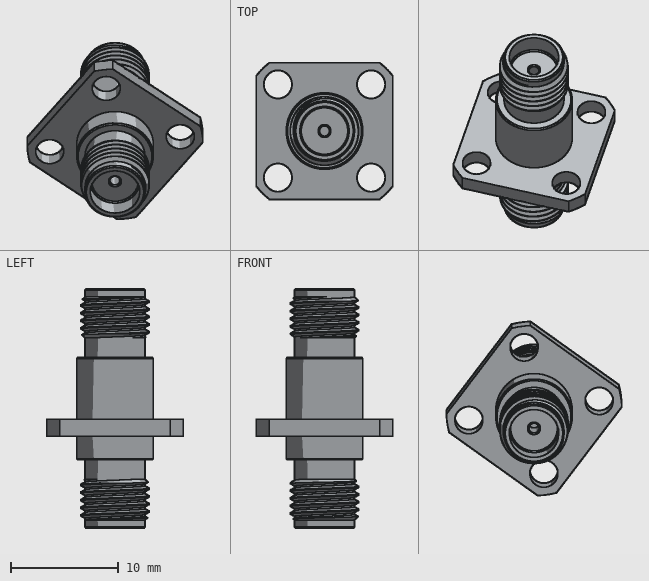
import cadquery as cq
import math

TOTAL_LENGTH = 22.23
BARREL_LENGTH = 6.35
EDGE_CHAMFER = 0.13

BODY_DIAMETER = 7.11
FLANGE_WIDTH = 12.7
FLANGE_BOTTOM = 8.53
FLANGE_THICKNESS = 1.6
CORNER_CIRCLE_DIAMETER = 16.3
MOUNT_HOLE_DIAMETER = 2.59
MOUNT_HOLE_SPACING = 8.64

BARREL_DIAMETER = 5.58
THREAD_DIAMETER = 6.35
INCH = 25.4
THREADS_PER_INCH = 36
THREAD_PITCH = INCH / THREADS_PER_INCH
THREAD_START = 0.76
THREAD_END = 4.57
CREST_OFFSET = 1.735
CREST_WIDTH = THREAD_PITCH / 8
FLANK_HALF_ANGLE = 30

SOCKET_DIAMETER = 4.57
SOCKET_DEPTH = 1.9
CONTACT_MOUTH_DIAMETER = 1.19
CONTACT_HOLE_DIAMETER = 0.94
CONTACT_DEPTH = 2.0

OVERLAP = 0.05


def cylinder(diameter, bottom, top):
    return cq.Workplane("XY").workplane(offset=bottom).circle(diameter / 2).extrude(top - bottom)


def thread():
    """Trapezoidal helical rib, trimmed by 45 degree run-outs at both ends."""
    barrel_radius = BARREL_DIAMETER / 2
    crest_radius = THREAD_DIAMETER / 2
    root_radius = barrel_radius - OVERLAP
    half_crest = CREST_WIDTH / 2
    half_root = half_crest + (crest_radius - root_radius) * math.tan(math.radians(FLANK_HALF_ANGLE))

    turns_before_crest = math.ceil((CREST_OFFSET - THREAD_START) / THREAD_PITCH) + 1
    helix_start = CREST_OFFSET - THREAD_PITCH * turns_before_crest
    turns = math.ceil((THREAD_END - helix_start) / THREAD_PITCH) + 1
    helix = cq.Wire.makeHelix(THREAD_PITCH, turns * THREAD_PITCH, barrel_radius)
    rib = (
        cq.Workplane("XZ")
        .polyline([
            (root_radius, -half_root),
            (crest_radius, -half_crest),
            (crest_radius, half_crest),
            (root_radius, half_root),
        ])
        .close()
        .sweep(cq.Workplane(helix), isFrenet=True)
        .translate((0, 0, helix_start))
    )
    envelope = (
        cylinder(THREAD_DIAMETER + 2 * OVERLAP, THREAD_START - OVERLAP, THREAD_END + OVERLAP)
        .faces("<Z or >Z")
        .chamfer(crest_radius + OVERLAP - root_radius)
    )
    return rib.intersect(envelope)


def socket():
    """Stepped cavity: chamfered socket floor with a countersunk contact hole in the middle."""
    opening = cylinder(SOCKET_DIAMETER, 0, SOCKET_DEPTH).faces(">Z").chamfer(EDGE_CHAMFER)
    countersink_depth = (CONTACT_MOUTH_DIAMETER - CONTACT_HOLE_DIAMETER) / 2
    countersink = (
        cylinder(CONTACT_MOUTH_DIAMETER, SOCKET_DEPTH - countersink_depth, SOCKET_DEPTH + countersink_depth)
        .faces(">Z")
        .chamfer(countersink_depth)
    )
    hole = cylinder(CONTACT_HOLE_DIAMETER, SOCKET_DEPTH, SOCKET_DEPTH + CONTACT_DEPTH)
    return opening.union(countersink).union(hole)


def connector_end():
    """Threaded socket end with its mating face at Z = 0, facing down."""
    barrel = (
        cylinder(BARREL_DIAMETER, 0, BARREL_LENGTH + EDGE_CHAMFER)
        .faces("<Z")
        .chamfer(EDGE_CHAMFER)
    )
    return barrel.union(thread()).cut(socket())


def body():
    shoulder_top = TOTAL_LENGTH - BARREL_LENGTH
    return cylinder(BODY_DIAMETER, BARREL_LENGTH, shoulder_top).faces("<Z or >Z").chamfer(EDGE_CHAMFER)


def flange():
    return (
        cq.Workplane("XY")
        .workplane(offset=FLANGE_BOTTOM)
        .rect(FLANGE_WIDTH, FLANGE_WIDTH)
        .extrude(FLANGE_THICKNESS)
        .intersect(cylinder(CORNER_CIRCLE_DIAMETER, FLANGE_BOTTOM, FLANGE_BOTTOM + FLANGE_THICKNESS))
        .faces(">Z")
        .workplane()
        .rect(MOUNT_HOLE_SPACING, MOUNT_HOLE_SPACING, forConstruction=True)
        .vertices()
        .hole(MOUNT_HOLE_DIAMETER)
    )


lower_end = connector_end()
upper_end = lower_end.rotate((0, 0, 0), (1, 0, 0), 180).translate((0, 0, TOTAL_LENGTH))
result = body().union(flange()).union(lower_end).union(upper_end)